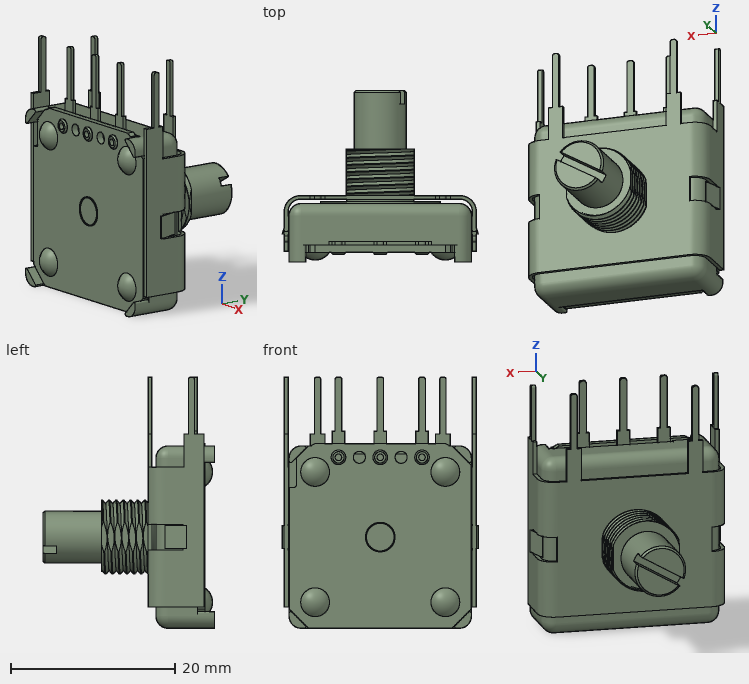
import cadquery as cq
import math


BODY_HALF = 11.1
BODY_CORNER_R = 1.5
BODY_FRONT = 5.95
FEET_END = -1.2
FOOT_LEG = 2.05
FOOT_TIP_R = 0.27
FOOT_TIP_LAND = 0.01
BOSS_R = 7.3
BOSS_HEIGHT = 0.2

PLATE_HALF = 11.05
PLATE_THICK = 0.9
PLATE_CHAMFER = 2.3
PLATE_LIP_TOP = 11.37
LIP_HALF_TOP = 7.95
LIP_HALF_BASE = 8.55
NOTCH_INNER_X = -10.2
NOTCH_BOTTOM = 6.05
NOTCH_TOP = 9.5
NOTCH_CORNER_R = 0.3
DOT_R = 1.8
DOT_GROOVE_W = 0.12
DOT_GROOVE_DEPTH = 0.1

DOME_PITCH = 15.84
DOME_R = 1.75
DOME_HEIGHT = 0.95

BUSHING_R = 4.5
BUSHING_FLAT_HALF = 4.14
BUSHING_END = 12.59
THREAD_PITCH = 0.87
THREAD_DEPTH = 0.4
GROOVE_START = 6.2
SHAFT_R = 3.175
SHAFT_END = 19.7
SHAFT_CHAMFER = 0.25
SLOT_WIDTH = 1.05
SLOT_DEPTH = 1.65
SLOT_ANGLE = 30.0

BRACKET_HALF_X = 11.7
BRACKET_FRONT = 6.9
BRACKET_REAR = 0.1
BRACKET_HALF_Z = 8.5
BRACKET_SIDE_THICK = 0.52
BRACKET_FRONT_THICK = 0.45
BEND_R = 2.0
WINDOW_HALF_Z = 1.55
WINDOW_REAR = 2.65

BARB_HALF_X = 11.94
BARB_HALF_Z = 1.4
BARB_REAR = 2.2
BARB_FRONT = 4.87

PIN_TOP = 19.46
PIN_TIP_R = 0.3
LUG_TOP = 12.56
FRONT_PIN_X = 7.62
FRONT_LUG_W = 1.83
FRONT_PIN_W = 0.8
SIDE_LUG_FRONT = 2.55
SIDE_PIN_Y = 1.62
SIDE_PIN_W = 0.75
SIGNAL_PITCH = 5.08
SIGNAL_LUG_TOP = 12.88
SIGNAL_LUG_W = 1.55
SIGNAL_PIN_W = 0.85
SIGNAL_THICK = 0.42
EYELET_Z = 9.7
EYELET_R = 0.89
EYELET_HOLE_R = 0.4
EYELET_HEIGHT = 0.25
EYELET_HOLE_DEPTH = 1.3
VENT_R = 0.73
RECESS_HALF_X = 6.26
RECESS_BOTTOM = 10.13


def block(x0, x1, y0, y1, z0, z1):
    """Axis-aligned box given by its limits."""
    return cq.Workplane("XY").box(x1 - x0, y1 - y0, z1 - z0, centered=False).translate((x0, y0, z0))


def rod(radius, y0, y1, x=0.0, z=0.0):
    """Cylinder along Y from y0 to y1."""
    return cq.Workplane("XY").circle(radius).extrude(y1 - y0).rotate((0, 0, 0), (1, 0, 0), -90).translate((x, y0, z))


def prism(points, y0, y1):
    """Polygon of (x, z) points extruded along Y from y0 to y1."""
    return cq.Workplane("XZ", origin=(0, y0, 0)).polyline(points).close().extrude(-(y1 - y0))


def mirrored(part):
    """The part together with its mirror image across the YZ plane."""
    return part.union(part.mirror("YZ"))


def make_foot():
    """Corner foot at +X +Z with a diagonal inner face and rounded tips."""
    low = BODY_HALF - FOOT_LEG
    foot = block(low, BODY_HALF, FEET_END, PLATE_THICK, low, BODY_HALF)
    foot = foot.edges("|Y and >X and >Z").fillet(BODY_CORNER_R)
    foot = foot.edges("|Y and <X and >Z").fillet(FOOT_TIP_R)
    foot = foot.edges("|Y and >X and <Z").fillet(FOOT_TIP_R)
    return foot.edges("|Y and <X and <Z").chamfer(FOOT_LEG - FOOT_TIP_R - FOOT_TIP_LAND)


def make_body():
    """Rounded housing with four corner feet and a recess for the signal terminals."""
    body = block(-BODY_HALF, BODY_HALF, PLATE_THICK, BODY_FRONT, -BODY_HALF, BODY_HALF)
    body = body.edges("|Y").fillet(BODY_CORNER_R).faces(">Y").edges().fillet(BODY_CORNER_R)
    foot = make_foot()
    for quarter_turn in range(4):
        body = body.union(foot.rotate((0, 0, 0), (0, 1, 0), 90 * quarter_turn))
    body = body.cut(block(-RECESS_HALF_X, RECESS_HALF_X, PLATE_THICK, PLATE_THICK + SIGNAL_THICK,
                          RECESS_BOTTOM, BODY_HALF))
    return body.union(rod(BOSS_R, BODY_FRONT, BODY_FRONT + BOSS_HEIGHT))


def make_plate():
    """Back plate with clipped corners, a top lip, a side notch and a ring mark."""
    half = PLATE_HALF
    plate = block(-half, half, 0, PLATE_THICK, -half, half).edges("|Y").chamfer(PLATE_CHAMFER)
    lip = [
        (-LIP_HALF_BASE, half), (-LIP_HALF_TOP, PLATE_LIP_TOP),
        (LIP_HALF_TOP, PLATE_LIP_TOP), (LIP_HALF_BASE, half),
        (LIP_HALF_TOP, EYELET_Z), (-LIP_HALF_TOP, EYELET_Z),
    ]
    plate = plate.union(prism(lip, 0, PLATE_THICK))
    notch = block(-BODY_HALF, NOTCH_INNER_X, 0, PLATE_THICK, NOTCH_BOTTOM, NOTCH_TOP)
    notch = notch.edges("|Y and >X and <Z").fillet(NOTCH_CORNER_R)
    ring = rod(DOT_R, 0, DOT_GROOVE_DEPTH).cut(rod(DOT_R - DOT_GROOVE_W, 0, DOT_GROOVE_DEPTH))
    return plate.cut(notch).cut(ring)


def make_domes():
    """Four domed rivet heads on the back plate."""
    ball_r = (DOME_R ** 2 + DOME_HEIGHT ** 2) / (2 * DOME_HEIGHT)
    half_angle = math.asin(DOME_R / ball_r) / 2
    arc_mid = (ball_r * math.sin(half_angle), ball_r * (1 - math.cos(half_angle)) - DOME_HEIGHT)
    cap = (
        cq.Workplane("XY")
        .moveTo(0, -DOME_HEIGHT)
        .threePointArc(arc_mid, (DOME_R, 0))
        .lineTo(DOME_R, PLATE_THICK / 2)
        .lineTo(0, PLATE_THICK / 2)
        .close()
        .revolve(360, (0, 0, 0), (0, 1, 0))
    )
    offset = DOME_PITCH / 2
    domes = cq.Workplane("XY")
    for x in (-offset, offset):
        for z in (-offset, offset):
            domes = domes.union(cap.translate((x, 0, z)))
    return domes


def make_bushing():
    """Right-hand threaded bushing with a flat on each side and a plain neck."""
    turns_height = BUSHING_END - GROOVE_START + THREAD_PITCH
    helix = cq.Wire.makeHelix(THREAD_PITCH, turns_height, BUSHING_R)
    overshoot = 0.05
    half_mouth = THREAD_PITCH / 2 * 0.97
    root = BUSHING_R - THREAD_DEPTH
    groove = (
        cq.Workplane("XZ")
        .polyline([(root, 0), (BUSHING_R + overshoot, half_mouth), (BUSHING_R + overshoot, -half_mouth)])
        .close()
        .sweep(cq.Workplane(helix), isFrenet=True)
        .rotate((0, 0, 0), (1, 0, 0), -90)
        .translate((0, GROOVE_START, 0))
    )
    bushing = rod(BUSHING_R, BRACKET_FRONT, BUSHING_END).cut(groove)
    bushing = bushing.intersect(block(-BUSHING_FLAT_HALF, BUSHING_FLAT_HALF, BRACKET_FRONT, BUSHING_END,
                                      -BUSHING_R, BUSHING_R))
    return bushing.union(rod(root, BODY_FRONT, BRACKET_FRONT))


def make_shaft():
    """Plain shaft with a chamfered end and a slanted driver slot."""
    shaft = rod(SHAFT_R, BODY_FRONT, SHAFT_END).faces(">Y").chamfer(SHAFT_CHAMFER)
    slot = block(-SHAFT_R, SHAFT_R, SHAFT_END - SLOT_DEPTH, SHAFT_END, -SLOT_WIDTH / 2, SLOT_WIDTH / 2)
    return shaft.cut(slot.rotate((0, 0, 0), (0, 1, 0), -SLOT_ANGLE))


def make_bracket():
    """U-shaped sheet bracket with a window across each bend."""
    inner_half = BRACKET_HALF_X - BRACKET_SIDE_THICK
    inner_front = BRACKET_FRONT - BRACKET_FRONT_THICK
    depth = 2 * BRACKET_HALF_Z
    outer = block(-BRACKET_HALF_X, BRACKET_HALF_X, BRACKET_REAR, BRACKET_FRONT, -BRACKET_HALF_Z, BRACKET_HALF_Z)
    outer = outer.edges("|Z and >Y").fillet(BEND_R)
    inner = cq.Workplane("XY").box(2 * inner_half, inner_front - BRACKET_REAR, depth)
    inner = inner.translate((0, (inner_front + BRACKET_REAR) / 2, 0))
    inner = inner.edges("|Z and >Y").fillet(BEND_R - BRACKET_SIDE_THICK)
    window = block(BRACKET_HALF_X - BEND_R, BRACKET_HALF_X, WINDOW_REAR, BRACKET_FRONT,
                   -WINDOW_HALF_Z, WINDOW_HALF_Z)
    return outer.cut(inner).cut(mirrored(window))


def make_barbs():
    """Snap wedges on the housing sides that hold the bracket windows."""
    root = BODY_HALF - BODY_CORNER_R
    barb = (
        cq.Workplane("XY", origin=(0, 0, -BARB_HALF_Z))
        .polyline([(root, BARB_REAR), (BARB_HALF_X, BARB_REAR), (BODY_HALF, BARB_FRONT), (root, BARB_FRONT)])
        .close()
        .extrude(2 * BARB_HALF_Z)
    )
    return mirrored(barb)


def make_pin(width, thickness, base):
    """Flat upright pin centred on x = y = 0, wide along X, with a rounded tip."""
    pin = block(-width / 2, width / 2, -thickness / 2, thickness / 2, base, PIN_TOP)
    return pin.edges("|Y and >Z").fillet(PIN_TIP_R)


def make_bracket_terminals():
    """Ground terminals rising from the bracket front and sides."""
    front_y0 = BRACKET_FRONT - BRACKET_FRONT_THICK
    front = block(FRONT_PIN_X - FRONT_LUG_W / 2, FRONT_PIN_X + FRONT_LUG_W / 2, front_y0, BRACKET_FRONT,
                  BRACKET_HALF_Z, LUG_TOP)
    front_pin = make_pin(FRONT_PIN_W, BRACKET_FRONT_THICK, LUG_TOP)
    front = front.union(front_pin.translate((FRONT_PIN_X, front_y0 + BRACKET_FRONT_THICK / 2, 0)))
    side_x0 = BRACKET_HALF_X - BRACKET_SIDE_THICK
    side = block(side_x0, BRACKET_HALF_X, BRACKET_REAR, SIDE_LUG_FRONT, BRACKET_HALF_Z, LUG_TOP)
    side_pin = make_pin(SIDE_PIN_W, BRACKET_SIDE_THICK, LUG_TOP).rotate((0, 0, 0), (0, 0, 1), 90)
    side = side.union(side_pin.translate((side_x0 + BRACKET_SIDE_THICK / 2, SIDE_PIN_Y, 0)))
    return mirrored(front.union(side))


def make_signal_terminal(x):
    """Signal terminal with the eyelet that holds it to the back plate."""
    y_mid = PLATE_THICK + SIGNAL_THICK / 2
    lug = block(-SIGNAL_LUG_W / 2, SIGNAL_LUG_W / 2, PLATE_THICK, PLATE_THICK + SIGNAL_THICK,
                EYELET_Z, SIGNAL_LUG_TOP)
    pin = make_pin(SIGNAL_PIN_W, SIGNAL_THICK, SIGNAL_LUG_TOP).translate((0, y_mid, 0))
    eyelet = rod(EYELET_R, -EYELET_HEIGHT, PLATE_THICK, z=EYELET_Z).faces("<Y").chamfer(EYELET_HEIGHT * 0.8)
    return lug.union(pin).union(eyelet).translate((x, 0, 0))


result = make_body().union(make_plate()).union(make_domes()).union(make_bushing()).union(make_shaft())
result = result.union(make_barbs()).union(make_bracket()).union(make_bracket_terminals())
for terminal_x in (-SIGNAL_PITCH, 0, SIGNAL_PITCH):
    result = result.union(make_signal_terminal(terminal_x))
    result = result.cut(rod(EYELET_HOLE_R, -EYELET_HEIGHT, EYELET_HOLE_DEPTH, terminal_x, EYELET_Z))
for vent_x in (-SIGNAL_PITCH / 2, SIGNAL_PITCH / 2):
    result = result.cut(rod(VENT_R, 0, PLATE_THICK, vent_x, EYELET_Z))